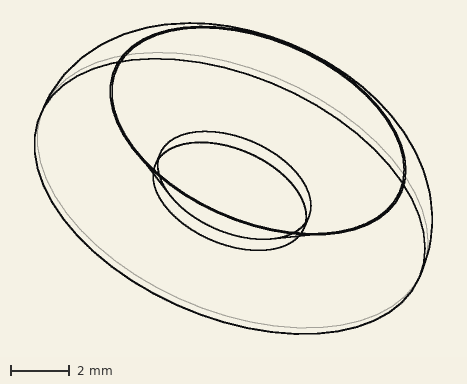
import cadquery as cq
import math

outer_radius = 7.0
thickness = 3.0
hole_radius = 2.75
rim_height = 0.3
dome_radius = 3.0
bore_depth = 0.5

dome_center = outer_radius - dome_radius
dome_rise = thickness - rim_height
back_radius = dome_center + math.sqrt(dome_radius**2 - dome_rise**2)
middle_angle = math.asin(dome_rise / dome_radius) / 2
dome_middle = (
    dome_center + dome_radius * math.cos(middle_angle),
    rim_height + dome_radius * math.sin(middle_angle),
)
countersink_radius = hole_radius + thickness - bore_depth

section = (
    cq.Workplane("XY")
    .moveTo(hole_radius, 0)
    .lineTo(outer_radius, 0)
    .lineTo(outer_radius, rim_height)
    .threePointArc(dome_middle, (back_radius, thickness))
    .lineTo(countersink_radius, thickness)
    .lineTo(hole_radius, bore_depth)
    .close()
)
result = section.revolve(360, (0, 0, 0), (0, 1, 0))